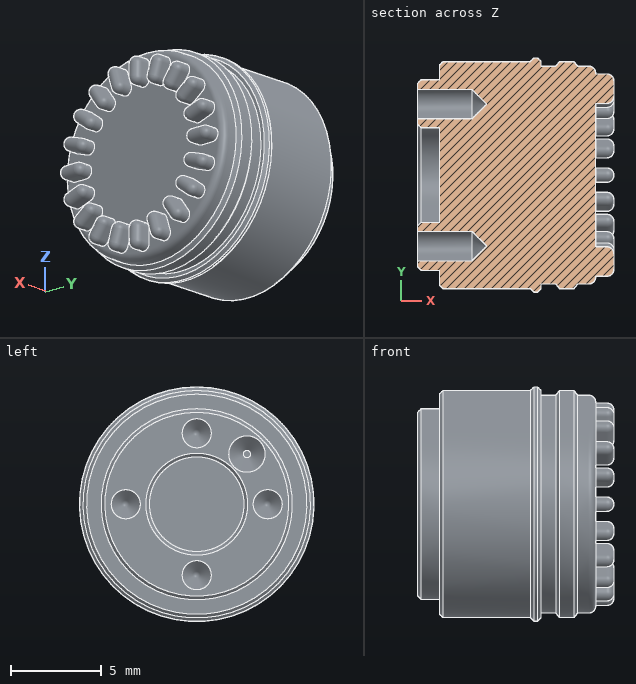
import cadquery as cq
import math

BOSS_RADIUS = 5.25
BODY_RADIUS = 6.25
RIM_RADIUS = 6.45
NECK_RADIUS = 6.0
EDGE_CHAMFER = 0.2
BOSS_LENGTH = 1.2
RIM_START = 6.2
RIM_WIDTH = 0.6
COLLAR_START = 7.6
COLLAR_WIDTH = 1.2
BODY_LENGTH = 9.8
END_FILLET = 0.4

RECESS_RADIUS = 2.6
RECESS_DEPTH = 1.2

HOLE_CIRCLE_RADIUS = 3.9
HOLE_DEPTH = 3.0
SMALL_HOLE_RADIUS = 0.8
KEY_HOLE_RADIUS = 1.0
KEY_HOLE_TIP_RADIUS = 0.2
DRILL_POINT_ANGLE = 90.0
SMALL_HOLE_ANGLES = (0, 90, 180, 270)
KEY_HOLE_ANGLE = 135

RIB_COUNT = 20
RIB_OUTER_CENTER = 5.17
RIB_INNER_CENTER = 4.33
RIB_RADIUS = 0.4
RIB_HEIGHT = 1.0
RIB_ROOT_DEPTH = 0.4


def make_body():
    """Revolve the stepped body about the X axis."""
    c = EDGE_CHAMFER
    rim_end = RIM_START + RIM_WIDTH
    collar_end = COLLAR_START + COLLAR_WIDTH
    profile = (
        cq.Workplane("XZ")
        .moveTo(0, 0)
        .lineTo(0, BOSS_RADIUS - c)
        .lineTo(c, BOSS_RADIUS)
        .lineTo(BOSS_LENGTH, BOSS_RADIUS)
        .lineTo(BOSS_LENGTH, BODY_RADIUS - c)
        .lineTo(BOSS_LENGTH + c, BODY_RADIUS)
        .lineTo(RIM_START, BODY_RADIUS)
        .lineTo(RIM_START + c, RIM_RADIUS)
        .lineTo(rim_end - c, RIM_RADIUS)
        .lineTo(rim_end, BODY_RADIUS)
        .lineTo(rim_end, NECK_RADIUS)
        .lineTo(COLLAR_START, NECK_RADIUS)
        .lineTo(COLLAR_START + c, BODY_RADIUS)
        .lineTo(collar_end - c, BODY_RADIUS)
        .lineTo(collar_end, NECK_RADIUS)
        .lineTo(BODY_LENGTH - END_FILLET, NECK_RADIUS)
        .radiusArc((BODY_LENGTH, NECK_RADIUS - END_FILLET), END_FILLET)
        .lineTo(BODY_LENGTH, 0)
        .close()
    )
    return profile.revolve(360, (0, 0, 0), (1, 0, 0))


def make_recess():
    """Round recess with a chamfered mouth."""
    return (
        cq.Workplane("XZ")
        .lineTo(0, RECESS_RADIUS + EDGE_CHAMFER)
        .lineTo(EDGE_CHAMFER, RECESS_RADIUS)
        .lineTo(RECESS_DEPTH, RECESS_RADIUS)
        .lineTo(RECESS_DEPTH, 0)
        .close()
        .revolve(360, (0, 0, 0), (1, 0, 0))
    )


def make_hole(radius, tip_radius, angle):
    """Blind hole on the hole circle; its conical bottom is pointed when tip_radius is zero."""
    cone_depth = (radius - tip_radius) / math.tan(math.radians(DRILL_POINT_ANGLE / 2))
    profile = cq.Workplane("XZ").lineTo(0, radius).lineTo(HOLE_DEPTH, radius)
    if tip_radius > 0:
        profile = profile.lineTo(HOLE_DEPTH + cone_depth, tip_radius)
    profile = profile.lineTo(HOLE_DEPTH + cone_depth, 0).close()
    hole = profile.revolve(360, (0, 0, 0), (1, 0, 0))
    return hole.translate((0, HOLE_CIRCLE_RADIUS, 0)).rotate((0, 0, 0), (1, 0, 0), angle)


def make_rib():
    """One radial rib along +Y: a rounded bar with a half-round crest and ball ends."""
    crest_x = BODY_LENGTH + RIB_HEIGHT - RIB_RADIUS
    length = RIB_OUTER_CENTER - RIB_INNER_CENTER
    middle = (RIB_OUTER_CENTER + RIB_INNER_CENTER) / 2
    root_x = BODY_LENGTH - RIB_ROOT_DEPTH
    rib = (
        cq.Workplane("YZ", origin=(root_x, middle, 0))
        .slot2D(length + 2 * RIB_RADIUS, 2 * RIB_RADIUS)
        .extrude(crest_x - root_x)
    )
    crest = (
        cq.Workplane("XZ", origin=(crest_x, RIB_INNER_CENTER, 0))
        .circle(RIB_RADIUS)
        .extrude(-length)
    )
    rib = rib.union(crest)
    for center in (RIB_INNER_CENTER, RIB_OUTER_CENTER):
        rib = rib.union(cq.Workplane("XY").sphere(RIB_RADIUS).translate((crest_x, center, 0)))
    return rib


result = make_body().cut(make_recess())
for hole_angle in SMALL_HOLE_ANGLES:
    result = result.cut(make_hole(SMALL_HOLE_RADIUS, 0, hole_angle))
result = result.cut(make_hole(KEY_HOLE_RADIUS, KEY_HOLE_TIP_RADIUS, KEY_HOLE_ANGLE))

rib = make_rib()
for index in range(RIB_COUNT):
    result = result.union(rib.rotate((0, 0, 0), (1, 0, 0), index * 360 / RIB_COUNT))